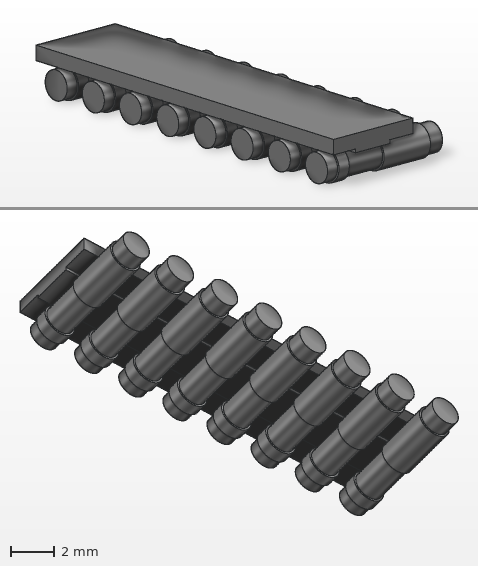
import cadquery as cq

plate_length = 20.32
plate_depth = 5.0
plate_thickness = 0.75
overall_height = 2.55

pin_count = 8
pin_pitch = 2.55
shaft_diameter = 1.5
collar_diameter = 1.7
pin_front = 0.1
pin_back = 7.35
front_collar_start = 0.73
front_collar_end = 1.38
rear_collar_start = 3.58
rear_collar_end = 6.5

pin_axis_z = collar_diameter / 2
first_pin_x = (plate_length - (pin_count - 1) * pin_pitch) / 2
plate_bottom = overall_height - plate_thickness

rib_bottom = pin_axis_z + shaft_diameter / 2


def make_plate():
    """Flat plate with a full-length rib along its underside, extruded along X."""
    return (
        cq.Workplane("YZ")
        .moveTo(0, overall_height)
        .lineTo(0, plate_bottom)
        .lineTo(front_collar_end, plate_bottom)
        .lineTo(front_collar_end, rib_bottom)
        .lineTo(rear_collar_start, rib_bottom)
        .lineTo(rear_collar_start, plate_bottom)
        .lineTo(plate_depth, plate_bottom)
        .lineTo(plate_depth, overall_height)
        .close()
        .extrude(plate_length)
    )


def make_cylinder(x, diameter, start, end):
    """Round bar on the pin axis at x, from Y = start to Y = end."""
    return cq.Workplane(
        cq.Solid.makeCylinder(
            diameter / 2, end - start, cq.Vector(x, start, pin_axis_z), cq.Vector(0, 1, 0)
        )
    )


def make_pin(x):
    """Shaft with a narrow front collar and a long rear collar."""
    shaft = make_cylinder(x, shaft_diameter, pin_front, pin_back)
    front_collar = make_cylinder(x, collar_diameter, front_collar_start, front_collar_end)
    rear_collar = make_cylinder(x, collar_diameter, rear_collar_start, rear_collar_end)
    return shaft.union(front_collar).union(rear_collar)


plate = make_plate()
pins = [make_pin(first_pin_x + i * pin_pitch) for i in range(pin_count)]

result = cq.Compound.makeCompound([plate.val(), *[pin.solids().val() for pin in pins]])